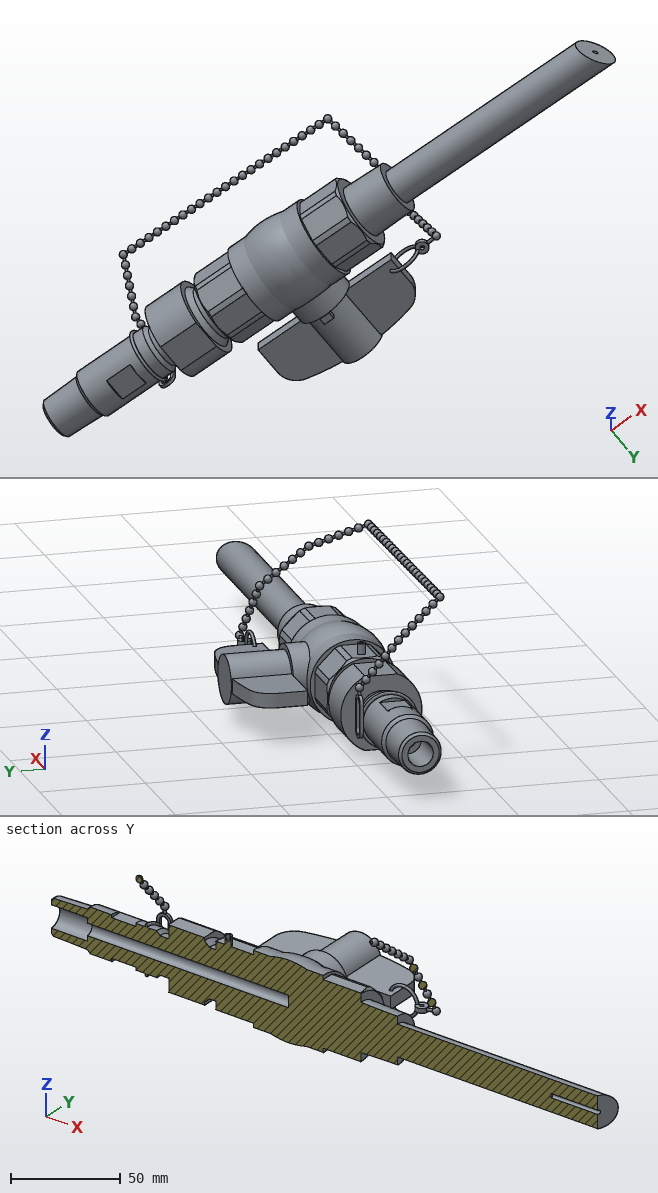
import cadquery as cq
import math

TOTAL_LENGTH = 314.5

NOSE_TIP_RADIUS = 10.0
NOSE_BASE_RADIUS = 10.7
NOSE_CHAMFER = 1.3
NOSE_END = 20.5
BODY_START = 22.0
BODY_RADIUS = 12.3
BODY_END = 59.7
NECK_START = 61.5
NECK_RADIUS = 10.5
WRENCH_FLAT_START = 34.3
WRENCH_FLAT_LENGTH = 13.5
WRENCH_FLAT_HALF_GAP = 10.7

NUT_START = 66.5
NUT_END = 86.8
NUT_RADIUS = 19.2
NUT_HALF_FLATS = 17.5
COLLAR_SHOULDER_RADIUS = 16.0
COLLAR_START = 89.5
COLLAR_RADIUS = 13.5

VALVE_CENTRE = 134.3
VALVE_HALF_LENGTH = 41.2
BAND_HALF_LENGTH = 19.8
BAND_RADIUS = 20.0
BULGE_HALF_LENGTH = 10.5
BULGE_RADIUS = 21.7
OCTAGON_SIDES = 8
OCTAGON_HALF_FLATS = 18.0
OCTAGON_CORNER_RADIUS = 19.0
OCTAGON_CHAMFER = 1.3

SOCKET_END = 196.2
SOCKET_START_RADIUS = 13.2
SOCKET_END_RADIUS = 25.5 / 2
ROD_RADIUS = 17.3 / 2
SLANT_LENGTH = 9.7

INLET_BORE_DIAMETER = 12.0
INLET_BORE_DEPTH = 20.5
FLOW_BORE_DIAMETER = 6.3
FLOW_BORE_END = VALVE_CENTRE
OUTLET_BORE_DIAMETER = 2.0
OUTLET_BORE_DEPTH = 31.5

PIN_X = 100.0
PIN_DIAMETER = 3.8
PIN_HOLE_DIAMETER = 2.0
PIN_HOLE_DEPTH = 2.5
PIN_TOP = 23.0

STEM_RADIUS = 14.0
HANDLE_BASE = 26.5
HANDLE_TOP = 55.0
HUB_RADIUS = 23.0 / 2
WING_THICKNESS = 7.0
WING_HALF_SPAN = 38.0
WING_SIDE_TOP = 40.2
WING_CORNER = (29.2, 51.5)
WING_CORNER_MIDDLE = (36.0, 47.5)

STOP_TAB_LENGTH = 5.5
STOP_TAB_TOP = 30.0
STOP_TAB_REACH = 14.5

RING_WIRE_RADIUS = 0.8
HANDLE_RING_RADIUS = 8.0
HANDLE_RING_X = 176.0
HANDLE_RING_Y = 31.0
EYELET_X = 186.5
EYELET_DIAMETER = 6.3
EYELET_HOLE_DIAMETER = 2.0
EYELET_HEIGHT = 2.5
BODY_RING_X = 53.8
BODY_RING_RADIUS = 13.0
LINK_WIDTH = 8.2
LINK_BOTTOM = -7.2
LINK_TOP = 13.2
CHAIN_START_HEIGHT = 16.7
LINK_Y = 13.8
BEAD_DIAMETER = 3.8
CHAIN_WIRE_DIAMETER = 1.3
BEAD_GAP = 1.05
BEAD_PITCH = BEAD_DIAMETER + BEAD_GAP
CHAIN_CORNERS = [
    (BODY_RING_X, LINK_Y, CHAIN_START_HEIGHT),
    (48.7, -3.0, 39.3),
    (58.8, -25.5, 55.0),
    (174.8, -24.2, 55.0),
    (181.0, 2.2, 45.0),
    (184.3, 24.5, 27.0),
    (194.5, HANDLE_RING_Y, 1.0),
]


def x_cylinder(start, end, radius):
    return cq.Workplane("YZ").workplane(offset=start).circle(radius).extrude(end - start)


def y_cylinder(x, start, end, radius):
    return cq.Workplane("XZ", origin=(x, start, 0)).circle(radius).extrude(start - end)


def z_cylinder(x, start, end, radius):
    return cq.Workplane("XY", origin=(x, 0, start)).circle(radius).extrude(end - start)


def rod_between(start, end, radius):
    a = cq.Vector(*start)
    b = cq.Vector(*end)
    return cq.Solid.makeCylinder(radius, (b - a).Length, a, b - a)


def ball(centre, diameter):
    return cq.Workplane(cq.Solid.makeSphere(diameter / 2, angleDegrees1=-90)).translate(centre).val()


def turned_core():
    """Every round part along the flow axis, as one revolved profile."""
    profile = (
        cq.Workplane("XY")
        .moveTo(0, 0)
        .lineTo(0, NOSE_TIP_RADIUS - NOSE_CHAMFER)
        .lineTo(NOSE_CHAMFER, NOSE_TIP_RADIUS)
        .lineTo(NOSE_END, NOSE_BASE_RADIUS)
        .lineTo(BODY_START, BODY_RADIUS)
        .lineTo(BODY_END, BODY_RADIUS)
        .lineTo(NECK_START, NECK_RADIUS)
        .lineTo(NUT_END, NECK_RADIUS)
        .lineTo(NUT_END, COLLAR_SHOULDER_RADIUS)
        .lineTo(COLLAR_START, COLLAR_RADIUS)
        .lineTo(VALVE_CENTRE - BAND_HALF_LENGTH, COLLAR_RADIUS)
        .lineTo(VALVE_CENTRE - BAND_HALF_LENGTH, BAND_RADIUS)
        .lineTo(VALVE_CENTRE - BULGE_HALF_LENGTH, BAND_RADIUS)
        .threePointArc((VALVE_CENTRE, BULGE_RADIUS), (VALVE_CENTRE + BULGE_HALF_LENGTH, BAND_RADIUS))
        .lineTo(VALVE_CENTRE + BAND_HALF_LENGTH, BAND_RADIUS)
        .lineTo(VALVE_CENTRE + BAND_HALF_LENGTH, SOCKET_START_RADIUS)
        .lineTo(VALVE_CENTRE + VALVE_HALF_LENGTH, SOCKET_START_RADIUS)
        .lineTo(SOCKET_END, SOCKET_END_RADIUS)
        .lineTo(SOCKET_END, ROD_RADIUS)
        .lineTo(TOTAL_LENGTH, ROD_RADIUS)
        .lineTo(TOTAL_LENGTH, 0)
        .close()
    )
    return profile.revolve(360, (0, 0, 0), (1, 0, 0))


def union_nut():
    length = NUT_END - NUT_START
    slab = cq.Workplane("XY").box(length, 2 * NUT_RADIUS, 2 * NUT_HALF_FLATS)
    slab = slab.translate((NUT_START + length / 2, 0, 0))
    return x_cylinder(NUT_START, NUT_END, NUT_RADIUS).intersect(slab)


def octagon_bars():
    """Octagonal wrench sections with rounded corners, running through the whole valve body."""
    corner_diameter = 2 * OCTAGON_HALF_FLATS / math.cos(math.pi / OCTAGON_SIDES)
    start = VALVE_CENTRE - VALVE_HALF_LENGTH
    length = 2 * VALVE_HALF_LENGTH
    octagon = (
        cq.Workplane("YZ")
        .workplane(offset=start)
        .transformed(rotate=(0, 0, 180 / OCTAGON_SIDES))
        .polygon(OCTAGON_SIDES, corner_diameter)
        .extrude(length)
    )
    rounding = x_cylinder(start, start + length, OCTAGON_CORNER_RADIUS)
    rounding = rounding.faces("<X or >X").chamfer(OCTAGON_CHAMFER)
    return octagon.intersect(rounding)


def handle():
    stem = y_cylinder(VALVE_CENTRE, 0, HANDLE_BASE, STEM_RADIUS)
    hub = y_cylinder(VALVE_CENTRE, HANDLE_BASE, HANDLE_TOP, HUB_RADIUS)
    corner_x, corner_y = WING_CORNER
    middle_x, middle_y = WING_CORNER_MIDDLE
    wing = (
        cq.Workplane("XY", origin=(VALVE_CENTRE, 0, -WING_THICKNESS / 2))
        .moveTo(-WING_HALF_SPAN, HANDLE_BASE)
        .lineTo(-WING_HALF_SPAN, WING_SIDE_TOP)
        .threePointArc((-middle_x, middle_y), (-corner_x, corner_y))
        .threePointArc((0, HANDLE_TOP), (corner_x, corner_y))
        .threePointArc((middle_x, middle_y), (WING_HALF_SPAN, WING_SIDE_TOP))
        .lineTo(WING_HALF_SPAN, HANDLE_BASE)
        .close()
        .extrude(WING_THICKNESS)
    )
    stop_tab = (
        cq.Workplane("XY")
        .box(STOP_TAB_LENGTH, STOP_TAB_TOP - HANDLE_BASE, STOP_TAB_REACH, centered=False)
        .translate((VALVE_CENTRE - STOP_TAB_LENGTH / 2, HANDLE_BASE, -STOP_TAB_REACH))
    )
    return stem.union(hub).union(wing).union(stop_tab)


def stop_pin():
    pin = z_cylinder(PIN_X, 0, PIN_TOP, PIN_DIAMETER / 2)
    hole = z_cylinder(PIN_X, PIN_TOP - PIN_HOLE_DEPTH, PIN_TOP, PIN_HOLE_DIAMETER / 2)
    return pin.cut(hole)


def wrench_flats():
    cutter = cq.Workplane("XY").box(WRENCH_FLAT_LENGTH, 2 * BODY_RADIUS, BODY_RADIUS)
    middle = WRENCH_FLAT_START + WRENCH_FLAT_LENGTH / 2
    height = WRENCH_FLAT_HALF_GAP + BODY_RADIUS / 2
    return cutter.translate((middle, 0, height)).union(cutter.translate((middle, 0, -height)))


def slant_cut():
    """Wedge that leaves the rod tip on its +Y side."""
    return (
        cq.Workplane("XY", origin=(0, 0, -ROD_RADIUS))
        .moveTo(TOTAL_LENGTH - SLANT_LENGTH, -ROD_RADIUS)
        .lineTo(TOTAL_LENGTH, ROD_RADIUS)
        .lineTo(TOTAL_LENGTH, -ROD_RADIUS)
        .close()
        .extrude(2 * ROD_RADIUS)
    )


def bores():
    inlet = x_cylinder(0, INLET_BORE_DEPTH, INLET_BORE_DIAMETER / 2)
    flow = x_cylinder(0, FLOW_BORE_END, FLOW_BORE_DIAMETER / 2)
    outlet = x_cylinder(TOTAL_LENGTH - OUTLET_BORE_DEPTH, TOTAL_LENGTH, OUTLET_BORE_DIAMETER / 2)
    return inlet.union(flow).union(outlet)


def rings():
    """Wire rings and links that tie the chain to the nipple and to the handle."""
    body_ring = cq.Solid.makeTorus(
        BODY_RING_RADIUS, RING_WIRE_RADIUS, cq.Vector(BODY_RING_X, 0, 0), cq.Vector(1, 0, 0)
    )
    handle_ring_centre = cq.Vector(HANDLE_RING_X, HANDLE_RING_Y, 0)
    handle_ring = cq.Solid.makeTorus(
        HANDLE_RING_RADIUS, RING_WIRE_RADIUS, handle_ring_centre, cq.Vector(0, 1, 0)
    )
    eyelet = (
        cq.Workplane("XY", origin=(EYELET_X, HANDLE_RING_Y, -EYELET_HEIGHT / 2))
        .circle(EYELET_DIAMETER / 2)
        .circle(EYELET_HOLE_DIAMETER / 2)
        .extrude(EYELET_HEIGHT)
    )
    eyelet_wall_radius = (EYELET_DIAMETER + EYELET_HOLE_DIAMETER) / 4
    coupling_start = (EYELET_X + eyelet_wall_radius, HANDLE_RING_Y, 0)
    coupling = rod_between(coupling_start, CHAIN_CORNERS[-1], RING_WIRE_RADIUS)
    post_base = (BODY_RING_X, LINK_Y, LINK_TOP - RING_WIRE_RADIUS)
    post = rod_between(post_base, CHAIN_CORNERS[0], RING_WIRE_RADIUS)
    link_length = LINK_TOP - LINK_BOTTOM
    link_wire = 2 * RING_WIRE_RADIUS
    link = (
        cq.Workplane("XZ", origin=(BODY_RING_X, LINK_Y, (LINK_TOP + LINK_BOTTOM) / 2))
        .slot2D(link_length, LINK_WIDTH, 90)
        .slot2D(link_length - 2 * link_wire, LINK_WIDTH - 2 * link_wire, 90)
        .extrude(RING_WIRE_RADIUS, both=True)
    )
    return [body_ring, handle_ring, eyelet.val(), coupling, post, link.val()]


def bead_chain():
    """Beads spaced evenly along each straight leg, joined by a thin wire."""
    beads = [ball(CHAIN_CORNERS[0], BEAD_DIAMETER)]
    wires = []
    for start, end in zip(CHAIN_CORNERS, CHAIN_CORNERS[1:]):
        leg_start = cq.Vector(*start)
        leg = cq.Vector(*end) - leg_start
        steps = round(leg.Length / BEAD_PITCH)
        for step in range(1, steps + 1):
            centre = leg_start + leg * (step / steps)
            beads.append(ball(centre, BEAD_DIAMETER))
        wires.append(rod_between(start, end, CHAIN_WIRE_DIAMETER / 2))
    return beads + wires


body = turned_core().union(union_nut()).union(octagon_bars()).union(handle()).union(stop_pin())
body = body.cut(wrench_flats()).cut(slant_cut()).cut(bores())
result = cq.Workplane(body.val().fuse(*rings(), *bead_chain()))